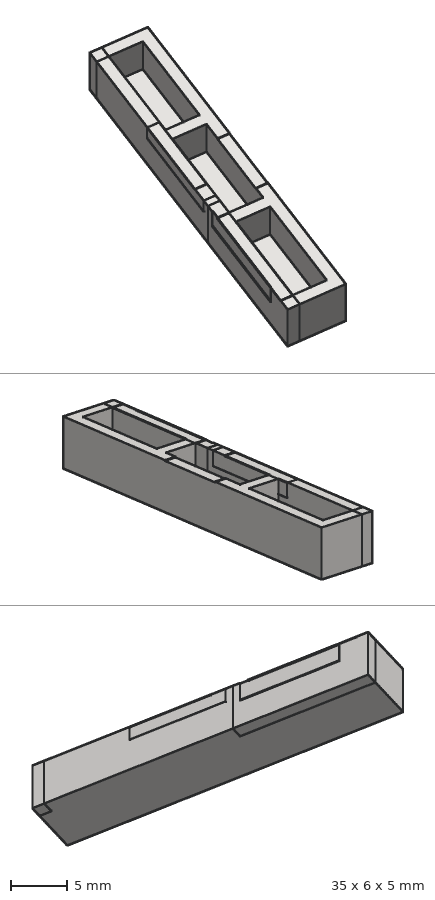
import cadquery as cq

LENGTH = 35.0
WIDTH = 6.0
HEIGHT = 5.0

POCKET_COUNT = 3
POCKET_LENGTH = 10.0
WALL = (LENGTH - POCKET_COUNT * POCKET_LENGTH) / (POCKET_COUNT + 1)
POCKET_PITCH = POCKET_LENGTH + WALL
POCKET_WIDTH = WIDTH - 2 * WALL
FLOOR = WALL

STEP = 0.07

BACK_RIM_START = 14.45
BACK_RIM_LENGTH = 6.75

INSERT_END = 20.15
INSERT_LENGTH = POCKET_LENGTH
INSERT_HEIGHT = 1.5
INSERT_BARE_LENGTH = 1.58

BAR_START = 20.9
BAR_LIP_START = WALL + POCKET_PITCH + POCKET_LENGTH
BAR_LIP_END = LENGTH - WALL

PANEL_START = 21.63
PANEL_LENGTH = 10.32
PANEL_HEIGHT = 2.0


def block(start, length, front, width, bottom, height):
    """Box placed by its lowest X, Y and Z corner."""
    return cq.Workplane("XY").box(length, width, height, centered=False).translate((start, front, bottom))


def front_wall_block(start, end, bottom, top):
    """Box as thick as the front wall, between two X and two Z positions."""
    return block(start, end - start, 0, WALL, bottom, top - bottom)


def make_corner_post():
    """Full-height square post at the front left corner."""
    return front_wall_block(0, WALL, 0, HEIGHT)


def make_front_insert():
    """Insert in the front wall, rebated on top for the housing lip."""
    start = INSERT_END - INSERT_LENGTH
    insert = front_wall_block(start, INSERT_END, HEIGHT - INSERT_HEIGHT, HEIGHT)
    lip = front_wall_block(start, INSERT_END - INSERT_BARE_LENGTH, HEIGHT - STEP, HEIGHT)
    return insert.cut(lip)


def bar_envelope():
    """Front bar, rebated on top for the housing lip, before its panel is recessed."""
    bar = front_wall_block(BAR_START, LENGTH, 0, HEIGHT)
    lip = front_wall_block(BAR_LIP_START, BAR_LIP_END, HEIGHT - STEP, HEIGHT)
    return bar.cut(lip)


def make_front_bar():
    """Front bar with a shallow panel in its front face."""
    panel = block(PANEL_START, PANEL_LENGTH, 0, STEP, HEIGHT - PANEL_HEIGHT, PANEL_HEIGHT)
    return bar_envelope().cut(panel)


def make_housing():
    """Tray with a row of pockets, cut back where the other bodies sit."""
    housing = block(0, LENGTH, 0, WIDTH, 0, HEIGHT)
    for index in range(POCKET_COUNT):
        pocket_start = WALL + index * POCKET_PITCH
        housing = housing.cut(block(pocket_start, POCKET_LENGTH, WALL, POCKET_WIDTH, FLOOR, HEIGHT - FLOOR))

    for seat in (make_corner_post(), make_front_insert(), bar_envelope()):
        housing = housing.cut(seat)

    return housing.cut(block(BACK_RIM_START, BACK_RIM_LENGTH, WIDTH - WALL, WALL, HEIGHT - STEP, STEP))


housing = make_housing().solids()
corner_post = make_corner_post().solids()
front_insert = make_front_insert().solids()
front_bar = make_front_bar().solids()

result = cq.Compound.makeCompound([housing.val(), corner_post.val(), front_insert.val(), front_bar.val()])